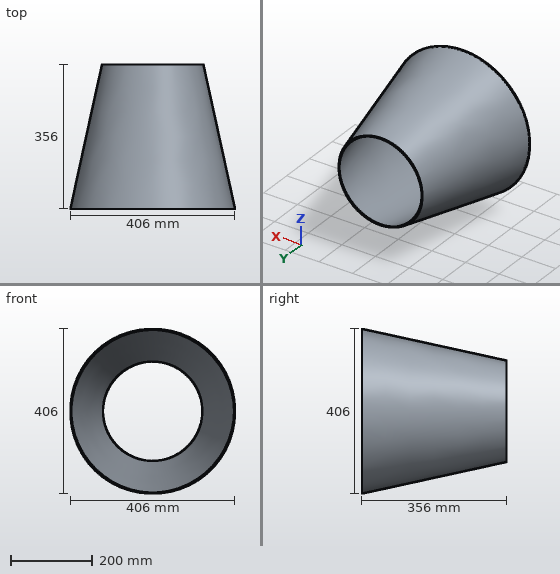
import cadquery as cq
import math

WIDE_DIAMETER = 406.0
NARROW_DIAMETER = 250.0
LENGTH = 356.0
WALL_THICKNESS = 3.0

wide_radius = WIDE_DIAMETER / 2
narrow_radius = NARROW_DIAMETER / 2

half_angle = math.atan((wide_radius - narrow_radius) / LENGTH)
end_face_width = WALL_THICKNESS / math.cos(half_angle)


def conical_shell():
    """Wall section in the XY plane revolved about the Y axis."""
    wall_section = (
        cq.Workplane("XY")
        .moveTo(wide_radius - end_face_width, 0)
        .lineTo(wide_radius, 0)
        .lineTo(narrow_radius, LENGTH)
        .lineTo(narrow_radius - end_face_width, LENGTH)
        .close()
    )
    return wall_section.revolve(360, (0, 0, 0), (0, 1, 0))


result = conical_shell()